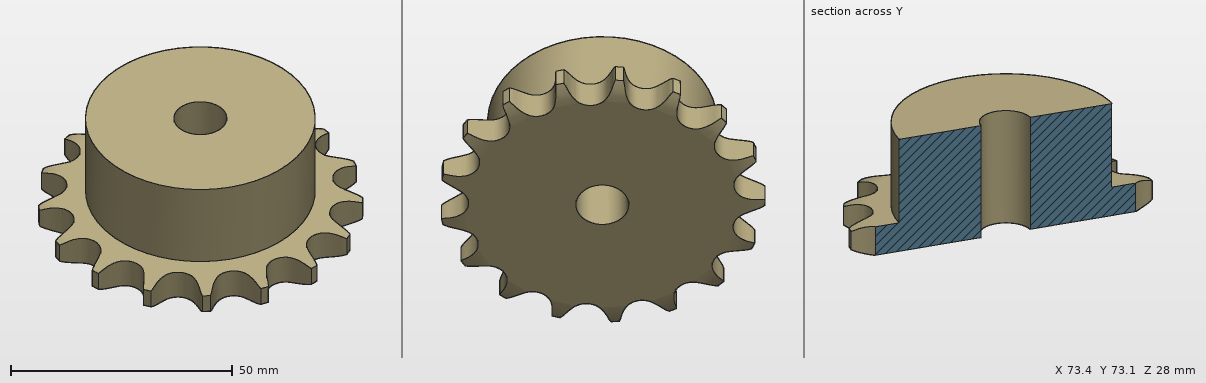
import cadquery as cq
import math

tooth_count = 17
chain_pitch = 12.7
roller_diameter = 8.5
tip_radius = 36.8
plate_thickness = 7.2
total_height = 28.0
hub_diameter = 52.0
bore_diameter = 12.0
bevel_depth = 1.3
bevel_inner_radius = 31.2
seat_clearance = 0.04

tooth_angle = 360 / tooth_count
pitch_radius = chain_pitch / 2 / math.sin(math.radians(tooth_angle / 2))

seat_angle = 35 + 60 / tooth_count
working_angle = 18 - 56 / tooth_count
topping_angle = 17 - 64 / tooth_count
seat_radius = 0.5025 * roller_diameter + seat_clearance
working_offset = 0.8 * roller_diameter
topping_offset = 1.4 * roller_diameter
working_radius = seat_radius + working_offset
straight_length = (
    topping_offset * math.sin(math.radians(topping_angle))
    - working_offset * math.sin(math.radians(working_angle))
)
topping_radius = (
    topping_offset * math.cos(math.radians(topping_angle))
    + working_offset * math.cos(math.radians(working_angle))
    - working_radius
)


def direction(start, end):
    """Direction from one point to another, in degrees."""
    return math.degrees(math.atan2(end[1] - start[1], end[0] - start[0]))


def moved(point, distance, degrees):
    """Point reached from another by a distance in a direction."""
    angle = math.radians(degrees)
    return (point[0] + distance * math.cos(angle), point[1] + distance * math.sin(angle))


def mirrored(point):
    """Point reflected across the Y axis."""
    return (-point[0], point[1])


def tooth_gap():
    """Cutter for the gap centred on +Y, symmetric about the Y axis."""
    axis = (0, 0)
    seat_centre = (0, pitch_radius)
    seat_bottom = (0, pitch_radius - seat_radius)
    seat_end = moved(seat_centre, seat_radius, -seat_angle)

    working_centre = moved(seat_centre, -working_offset, -seat_angle)
    straight_normal = working_angle - seat_angle
    working_middle = moved(working_centre, working_radius, -seat_angle + working_angle / 2)
    working_end = moved(working_centre, working_radius, straight_normal)

    straight_end = moved(working_end, straight_length, straight_normal + 90)

    topping_centre = moved(straight_end, topping_radius, straight_normal)
    centre_distance = math.hypot(*topping_centre)
    centre_direction = direction(axis, topping_centre)
    tip_turn = math.degrees(math.acos(
        (centre_distance**2 + tip_radius**2 - topping_radius**2)
        / (2 * centre_distance * tip_radius)
    ))
    tip = moved(axis, tip_radius, centre_direction + tip_turn)
    tip_normal = direction(topping_centre, tip)
    topping_middle = moved(topping_centre, topping_radius, (tip_normal + straight_normal + 180) / 2)
    outer_corner = (tip[0], tip_radius + roller_diameter)
    return (
        cq.Workplane("XY")
        .moveTo(*mirrored(seat_end))
        .threePointArc(seat_bottom, seat_end)
        .threePointArc(working_middle, working_end)
        .lineTo(*straight_end)
        .threePointArc(topping_middle, tip)
        .lineTo(*outer_corner)
        .lineTo(*mirrored(outer_corner))
        .lineTo(*mirrored(tip))
        .threePointArc(mirrored(topping_middle), mirrored(straight_end))
        .lineTo(*mirrored(working_end))
        .threePointArc(mirrored(working_middle), mirrored(seat_end))
        .close()
        .extrude(plate_thickness)
    )


def plate_blank():
    """Disc whose rim narrows on both sides along arcs tangent to its faces."""
    bevel_length = tip_radius - bevel_inner_radius
    bevel_radius = (bevel_length**2 + bevel_depth**2) / (2 * bevel_depth)
    middle_angle = math.asin(bevel_length / bevel_radius) / 2
    middle_radius = bevel_inner_radius + bevel_radius * math.sin(middle_angle)
    middle_drop = bevel_radius * (1 - math.cos(middle_angle))
    return (
        cq.Workplane("XZ")
        .lineTo(bevel_inner_radius, 0)
        .threePointArc((middle_radius, middle_drop), (tip_radius, bevel_depth))
        .lineTo(tip_radius, plate_thickness - bevel_depth)
        .threePointArc(
            (middle_radius, plate_thickness - middle_drop),
            (bevel_inner_radius, plate_thickness),
        )
        .lineTo(0, plate_thickness)
        .close()
        .revolve(360, (0, 0, 0), (0, 1, 0))
    )


sprocket = plate_blank()
gap = tooth_gap()
for index in range(tooth_count):
    sprocket = sprocket.cut(gap.rotate((0, 0, 0), (0, 0, 1), index * tooth_angle))

hub = cq.Workplane("XY").circle(hub_diameter / 2).extrude(total_height)
bore = cq.Workplane("XY").circle(bore_diameter / 2).extrude(total_height)

result = sprocket.union(hub).cut(bore)